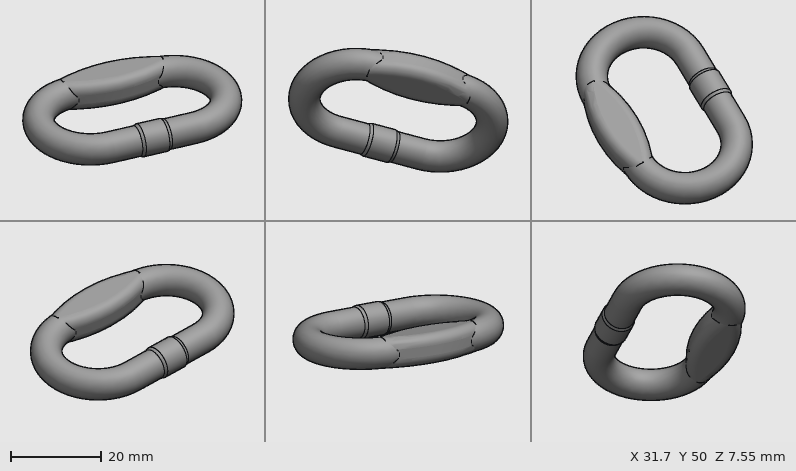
import cadquery as cq

rod_radius = 3.5
bend_radius = 11.5
straight_half_length = 10.0
bar_end_y = 9.5

collar_radius = 3.775
collar_half_length = 3.55
collar_land_half_length = 2.8

grip_half_length = 12.0
grip_half_width = 4.9
grip_end_half_width = 2.6
grip_edge_radius = 2.35

crest_gap_width = 0.4

part_offset_x = (grip_half_width - collar_radius) / 2


def make_ring():
    """Round bar bent to an oval, open where the grip replaces the left-hand straight."""
    path = (
        cq.Workplane("XY")
        .moveTo(-bend_radius, bar_end_y)
        .lineTo(-bend_radius, straight_half_length)
        .threePointArc(
            (0, straight_half_length + bend_radius),
            (bend_radius, straight_half_length),
        )
        .lineTo(bend_radius, -straight_half_length)
        .threePointArc(
            (0, -straight_half_length - bend_radius),
            (-bend_radius, -straight_half_length),
        )
        .lineTo(-bend_radius, -bar_end_y)
    )
    section = cq.Workplane("XZ", origin=(-bend_radius, bar_end_y, 0))
    bar = section.circle(rod_radius).sweep(path)
    crest_gap = cq.Workplane("XY", origin=(-bend_radius, 0, 0)).box(
        crest_gap_width, 2 * grip_half_length, 2 * collar_radius
    )
    return bar.cut(crest_gap)


def make_collar():
    """Short band with a taper at each end down to the rod surface."""
    return (
        cq.Workplane("XY", origin=(bend_radius, 0, 0))
        .moveTo(0, -collar_half_length)
        .lineTo(rod_radius, -collar_half_length)
        .lineTo(collar_radius, -collar_land_half_length)
        .lineTo(collar_radius, collar_land_half_length)
        .lineTo(rod_radius, collar_half_length)
        .lineTo(0, collar_half_length)
        .close()
        .revolve(360, (0, 0, 0), (0, 1, 0))
    )


def make_grip():
    """Barrel-shaped block, as thick as the rod, with rounded long edges."""
    return (
        cq.Workplane("XY", origin=(-bend_radius, 0, -rod_radius))
        .moveTo(-grip_end_half_width, -grip_half_length)
        .threePointArc((-grip_half_width, 0), (-grip_end_half_width, grip_half_length))
        .lineTo(grip_end_half_width, grip_half_length)
        .threePointArc((grip_half_width, 0), (grip_end_half_width, -grip_half_length))
        .close()
        .extrude(2 * rod_radius)
        .edges("%CIRCLE")
        .fillet(grip_edge_radius)
    )


result = make_ring().union(make_collar()).union(make_grip()).translate((part_offset_x, 0, 0))